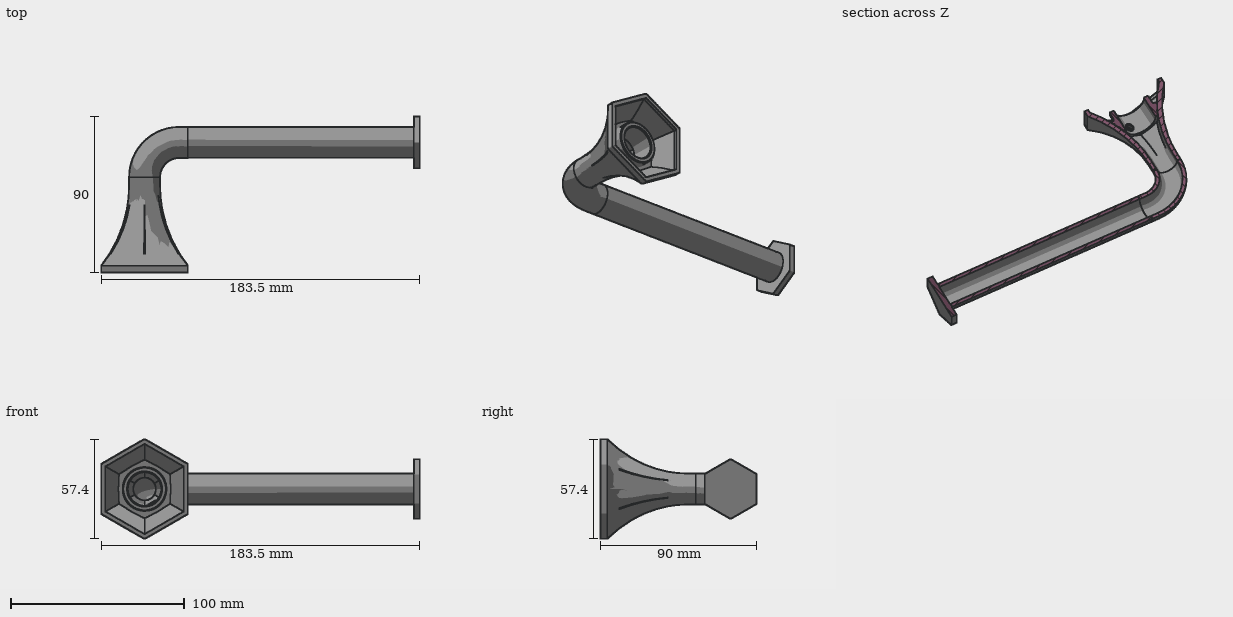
import cadquery as cq
import math


pipe_radius = 9.0
wall = 2.5
bore_radius = pipe_radius - wall
bend_radius = 20.0
elbow_tail = 5.0
tube_length = 130.0

horn_length = 55.0
horn_collar = 5.0
mouth_across_flats = 50.0
rim_depth = 2.0
lip_depth = 2.0
corner_radius = 1.0
flare_section_count = 7

flange_across_flats = 30.0
flange_thickness = 3.5

insert_depth = 13.4
plug_thickness = 9.0
ring_projection = 6.0
ring_radius = 12.7
ring_bore_radius = 9.6
ring_outer_chamfer = 0.5
ring_bore_chamfer = 0.6
ring_base_fillet = 0.5

screw_radius = 2.5
screw_length = 3.0
screw_proud = 0.8
screw_depth = 17.3
screw_angle = -60.0
socket_radius = 1.5
socket_depth = 1.7

horn_end_y = -bend_radius
mouth_y = horn_end_y - horn_length
lip_y = mouth_y + rim_depth
flare_length = horn_length - horn_collar - rim_depth - lip_depth
outer_flare_y = lip_y + lip_depth
outer_flare_end_y = outer_flare_y + flare_length
inner_flare_y = lip_y
inner_flare_end_y = inner_flare_y + flare_length
insert_y = mouth_y + insert_depth
tube_start_x = bend_radius + elbow_tail
tube_end_x = tube_start_x + tube_length

flare_growth = mouth_across_flats / 2 - pipe_radius
flare_arc_radius = (flare_length**2 + flare_growth**2) / (2 * flare_growth)


def plane_at_x(x):
    """Workplane at the given X whose normal points along +X."""
    return cq.Workplane("YZ", origin=(x, 0, 0))


def plane_at_y(y):
    """Workplane at the given Y whose normal points along +Y."""
    return cq.Workplane(cq.Plane(origin=(0, y, 0), xDir=(1, 0, 0), normal=(0, 1, 0)))


def hex_prism(plane, across_flats, length):
    """Hexagonal prism with two of its corners pointing up and down."""
    corner_distance = across_flats / math.sqrt(3)
    angles = [math.radians(60 * i + 30) for i in range(6)]
    corners = [(corner_distance * math.cos(a), corner_distance * math.sin(a)) for a in angles]
    return plane.polyline(corners).close().extrude(length)




def flare_wire(y, rise, circle_radius, rounding):
    """Flare section at the given Y, with its flats standing the given rise outside the circle.

    It blends from the full hexagon at the mouth (full rise) to the plain circle (no rise).
    """
    hex_share = rise / flare_growth
    mouth_flat = circle_radius + flare_growth
    mouth_corner = mouth_flat * 2 / math.sqrt(3)
    half_side = (mouth_flat - rounding) / math.sqrt(3)
    corner_reach = mouth_corner - rounding * (2 / math.sqrt(3) - 1)

    def blended(u, v, turn):
        """Point of the section in the direction of the mouth point (u, v), turned about Y."""
        distance = math.hypot(u, v)
        distance = distance * hex_share + circle_radius * (1 - hex_share)
        angle = math.atan2(v, u) + turn
        return cq.Vector(distance * math.cos(angle), y, distance * math.sin(angle))

    def edge(start, middle, end):
        if rise >= flare_growth:
            return cq.Edge.makeLine(start, end)
        return cq.Edge.makeThreePointArc(start, middle, end)

    edges = []
    for i in range(6):
        turn = i * math.pi / 3
        side = [blended(mouth_flat, half_side * k, turn) for k in (-1, -0.5, 0, 0.5, 1)]
        edges.append(edge(*side[0:3]))
        edges.append(edge(*side[2:5]))
        if rounding:
            corner_u = corner_reach * math.cos(math.pi / 6)
            corner_v = corner_reach * math.sin(math.pi / 6)
            corner = blended(corner_u, corner_v, turn)
            next_side = blended(mouth_flat, -half_side, turn + math.pi / 3)
            edges.append(cq.Edge.makeThreePointArc(side[4], corner, next_side))
    return cq.Wire.assembleEdges(edges)


def flare(start_y, circle_radius, rounding=0.0):
    """Flare from its hexagonal mouth at start_y to a circle at the far end."""
    wires = []
    for i in range(flare_section_count):
        along = flare_length * i / (flare_section_count - 1)
        to_end = flare_length - along
        rise = flare_arc_radius - math.sqrt(flare_arc_radius**2 - to_end**2)
        wires.append(flare_wire(start_y + along, rise, circle_radius, rounding))
    return cq.Workplane(cq.Solid.makeLoft(wires))


def horn_cavity():
    """Flared hollow of the horn behind its straight rim opening."""
    return flare(inner_flare_y, bore_radius)




def make_horn():
    rim = hex_prism(plane_at_y(mouth_y), mouth_across_flats, rim_depth)
    rim = rim.edges("|Y").fillet(corner_radius)
    lip = hex_prism(plane_at_y(lip_y), mouth_across_flats, lip_depth)
    lip = lip.edges("|Y").fillet(corner_radius)

    collar_section = flare_wire(outer_flare_end_y, 0, pipe_radius, corner_radius)
    collar = cq.Workplane(cq.Solid.extrudeLinear(collar_section, [], cq.Vector(0, horn_collar, 0)))

    body = rim.union(lip, clean=False)
    body = body.union(flare(outer_flare_y, pipe_radius, corner_radius), clean=False)
    body = body.union(collar, clean=False)

    opening = hex_prism(plane_at_y(mouth_y), mouth_across_flats - 2 * wall, rim_depth)
    bore = plane_at_y(inner_flare_end_y).circle(bore_radius).extrude(horn_end_y - inner_flare_end_y)
    for hollow in (opening, horn_cavity(), bore):
        body = body.cut(hollow, clean=False)
    return body




def radial_cylinder(radius, from_bore_wall, length):
    """Cylinder along the screw's axis, starting at a distance outside the insert's bore wall."""
    angle = math.radians(screw_angle)
    outward = cq.Vector(math.cos(angle), 0, math.sin(angle))
    start = outward * (ring_bore_radius + from_bore_wall) + cq.Vector(0, mouth_y + screw_depth, 0)
    return cq.Workplane(cq.Solid.makeCylinder(radius, length, start, outward))


def ring_profile():
    """Half section of the ring, from its bore to the base fillet, turned about the Y axis."""
    front_y = insert_y - ring_projection
    base_radius = ring_radius + ring_base_fillet
    fillet_mid = ring_base_fillet * (1 - math.sqrt(0.5))
    return (
        cq.Workplane("XY")
        .moveTo(ring_bore_radius, insert_y)
        .lineTo(ring_bore_radius, front_y + ring_bore_chamfer)
        .lineTo(ring_bore_radius + ring_bore_chamfer, front_y)
        .lineTo(ring_radius - ring_outer_chamfer, front_y)
        .lineTo(ring_radius, front_y + ring_outer_chamfer)
        .lineTo(ring_radius, insert_y - ring_base_fillet)
        .threePointArc((ring_radius + fillet_mid, insert_y - fillet_mid), (base_radius, insert_y))
        .close()
    )


def make_insert():
    slab = plane_at_y(insert_y).circle(mouth_across_flats).extrude(plug_thickness)
    plug = horn_cavity().intersect(slab)
    plug = plug.cut(plane_at_y(insert_y).circle(ring_bore_radius).extrude(plug_thickness))
    ring = ring_profile().revolve(360, (0, 0, 0), (0, 1, 0))
    screw_hole = radial_cylinder(screw_radius, -screw_proud, screw_length)
    return plug.union(ring).cut(screw_hole)


def make_set_screw():
    """Stub set screw that stands slightly into the insert's bore, socket facing the axis."""
    screw = radial_cylinder(screw_radius, -screw_proud, screw_length)
    return screw.cut(radial_cylinder(socket_radius, -screw_proud, socket_depth))




def make_elbow():
    path = (
        cq.Workplane("XY")
        .moveTo(0, horn_end_y)
        .radiusArc((bend_radius, 0), bend_radius)
        .lineTo(tube_start_x, 0)
    )
    return plane_at_y(horn_end_y).circle(pipe_radius).circle(bore_radius).sweep(path)


def make_tube():
    return plane_at_x(tube_start_x).circle(pipe_radius).circle(bore_radius).extrude(tube_length)


def make_flange():
    flange = hex_prism(plane_at_x(tube_end_x), flange_across_flats, flange_thickness)
    return flange.edges("|X").fillet(corner_radius)


horn = make_horn()
insert = make_insert()
set_screw = make_set_screw()
elbow = make_elbow()
tube = make_tube()
flange = make_flange()

bodies = [horn, insert, set_screw, elbow, tube, flange]
result = cq.Compound.makeCompound([body.solids().val() for body in bodies])